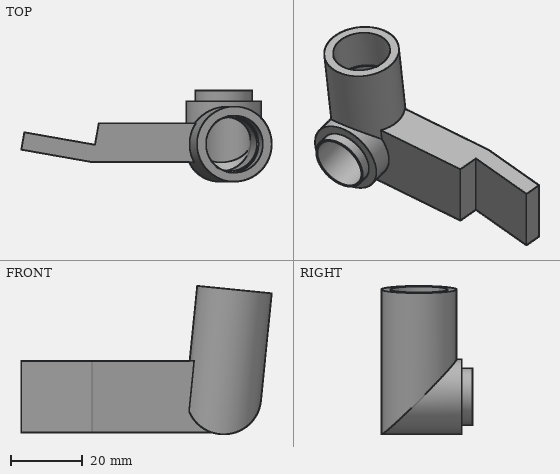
import cadquery as cq
import math

TUBE_DIAMETER = 21.0
SOCKET_DIAMETER = 16.0
PASSAGE_DIAMETER = 15.0
PASSAGE_CORNER_REACH = 8.9
TILT = 5.7
UPRIGHT_LENGTH = 30.1
SOCKET_DEPTH = 12.0
REAR_LENGTH = 12.0
SPIGOT_LENGTH = 3.0

BAR_HEIGHT = 20.0
BAR_FRONT_Y = -5.05
BAR_THICKNESS = 10.9
BEND_X = -36.85
BLADE_LENGTH = 20.0
BLADE_THICKNESS = 5.0
BLADE_ANGLE = 10.0


def lean(body):
    """Tilt an upright body about the Y axis through the elbow centre."""
    return body.rotate((0, 0, 0), (0, 1, 0), TILT)


def mitred_elbow(diameter, upright_end, rear_end):
    """Two equal cylinders, along +Z and +Y, joined on a 45 degree mitre."""
    radius = diameter / 2
    upright = cq.Workplane("XY").workplane(offset=-radius).circle(radius).extrude(upright_end + radius)
    rear = cq.Workplane("XZ").workplane(offset=radius).circle(radius).extrude(-rear_end - radius)
    reach = 2 * (upright_end + rear_end)
    above_mitre = (
        cq.Workplane("YZ")
        .polyline([(-reach, -reach), (reach, reach), (-reach, reach)])
        .close()
        .extrude(reach, both=True)
    )
    return upright.intersect(above_mitre).union(rear.cut(above_mitre))


def handle():
    """Straight bar with a thinner blade bent off its free end."""
    angle = math.radians(BLADE_ANGLE)
    along = (-math.cos(angle), math.sin(angle))
    across = (math.sin(angle), math.cos(angle))

    def blade_point(distance, height):
        return (
            BEND_X + distance * along[0] + height * across[0],
            BAR_FRONT_Y + distance * along[1] + height * across[1],
        )

    shoulder_height = BAR_THICKNESS / math.cos(angle)
    outline = [
        (0, BAR_FRONT_Y),
        blade_point(0, 0),
        blade_point(BLADE_LENGTH, 0),
        blade_point(BLADE_LENGTH, BLADE_THICKNESS),
        blade_point(0, BLADE_THICKNESS),
        blade_point(0, shoulder_height),
        (0, BAR_FRONT_Y + BAR_THICKNESS),
    ]
    return (
        cq.Workplane("XY")
        .workplane(offset=-BAR_HEIGHT / 2)
        .polyline(outline)
        .close()
        .extrude(BAR_HEIGHT)
    )


def spigot():
    """Plug that projects from the rear end of the elbow."""
    return (
        cq.Workplane("XZ")
        .workplane(offset=-REAR_LENGTH)
        .circle(SOCKET_DIAMETER / 2)
        .extrude(-SPIGOT_LENGTH)
    )


def socket():
    """Wider bore at the open end of the upright tube."""
    return lean(
        cq.Workplane("XY")
        .workplane(offset=UPRIGHT_LENGTH - SOCKET_DEPTH)
        .circle(SOCKET_DIAMETER / 2)
        .extrude(SOCKET_DEPTH)
    )


def passage():
    """Bore through both tubes, blunted at the outer corner of the mitre."""
    end = REAR_LENGTH + SPIGOT_LENGTH
    bore = mitred_elbow(PASSAGE_DIAMETER, UPRIGHT_LENGTH, end)
    reach = 2 * (UPRIGHT_LENGTH + end)
    across_mitre = cq.Workplane(cq.Plane(origin=(0, 0, 0), xDir=(1, 0, 0), normal=(0, -1, 1)))
    across_mitre = across_mitre.workplane(offset=-reach)
    blunt_corner = across_mitre.ellipse(PASSAGE_DIAMETER / 2, PASSAGE_CORNER_REACH).extrude(2 * reach)
    inner_side = across_mitre.center(0, reach / 2).rect(reach, reach).extrude(2 * reach)
    return lean(bore.intersect(blunt_corner.union(inner_side)))


body = lean(mitred_elbow(TUBE_DIAMETER, UPRIGHT_LENGTH, REAR_LENGTH)).union(handle()).union(spigot())
result = body.cut(passage()).cut(socket())